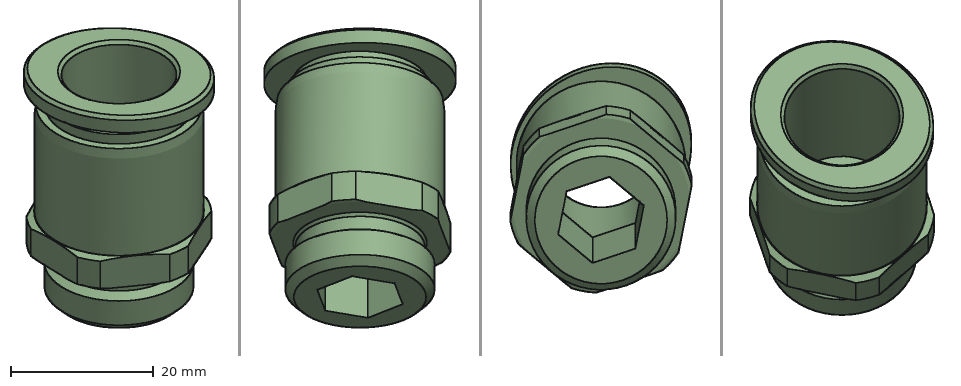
import cadquery as cq

height = 36.5
thread_chamfer_top = 1.2
thread_top = 5.2
neck_bottom = 6.0
neck_top = 8.0
nut_bottom = 8.5
nut_top = 13.5
body_taper_bottom = 29.5
body_top = 31.0
ring_top = 32.55
flange_bottom = 33.95

thread_radius = 10.48
thread_end_radius = 9.27
neck_radius = 9.1
neck_flare_radius = 9.38
body_radius = 11.85
body_top_radius = 11.65
ring_radius = 10.4
sleeve_radius = 9.5

nut_across_flats = 24.0
nut_corner_radius = 13.0
nut_top_chamfer_height = 0.4
nut_top_chamfer_width = 1.05
nut_bottom_chamfer_height = 0.15
nut_bottom_chamfer_width = 0.55

flange_length_x = 27.0
flange_length_y = 24.0
flange_chamfer = 0.5

bore_radius = 8.05
bore_chamfer = 0.5
bore_floor = nut_top
key_across_flats = 11.02


def revolved(profile):
    """Turn a closed (radius, height) profile about the Z axis."""
    return cq.Workplane("XZ").polyline(profile).close().revolve(360, (0, 0, 0), (0, 1, 0))


def hexagon_prism(across_flats, bottom, top):
    """Hexagonal prism with two flats facing along X and corners on the Y axis."""
    return (
        cq.Workplane("XY", origin=(0, 0, bottom))
        .polygon(6, across_flats, circumscribed=True)
        .extrude(top - bottom)
    )


def turned_body():
    return revolved([
        (0, 0),
        (thread_end_radius, 0),
        (thread_radius, thread_chamfer_top),
        (thread_radius, thread_top),
        (neck_radius, neck_bottom),
        (neck_radius, neck_top),
        (neck_flare_radius, nut_bottom),
        (body_radius, nut_bottom),
        (body_radius, body_taper_bottom),
        (body_top_radius, body_top),
        (ring_radius, body_top),
        (ring_radius, ring_top),
        (sleeve_radius, ring_top),
        (sleeve_radius, flange_bottom),
        (0, flange_bottom),
    ])


def nut():
    envelope = revolved([
        (0, nut_bottom),
        (nut_corner_radius - nut_bottom_chamfer_width, nut_bottom),
        (nut_corner_radius, nut_bottom + nut_bottom_chamfer_height),
        (nut_corner_radius, nut_top - nut_top_chamfer_height),
        (nut_corner_radius - nut_top_chamfer_width, nut_top),
        (0, nut_top),
    ])
    return hexagon_prism(nut_across_flats, nut_bottom, nut_top).intersect(envelope)


def release_flange():
    return (
        cq.Workplane("XY", origin=(0, 0, flange_bottom))
        .ellipse(flange_length_x / 2, flange_length_y / 2)
        .extrude(height - flange_bottom)
        .faces(">Z")
        .chamfer(flange_chamfer)
    )


def tube_bore():
    return revolved([
        (0, bore_floor),
        (bore_radius, bore_floor),
        (bore_radius, height - bore_chamfer),
        (bore_radius + bore_chamfer, height),
        (0, height),
    ])


key_hole = hexagon_prism(key_across_flats, 0, bore_floor)

result = (
    turned_body()
    .union(nut())
    .union(release_flange())
    .cut(tube_bore())
    .cut(key_hole)
)